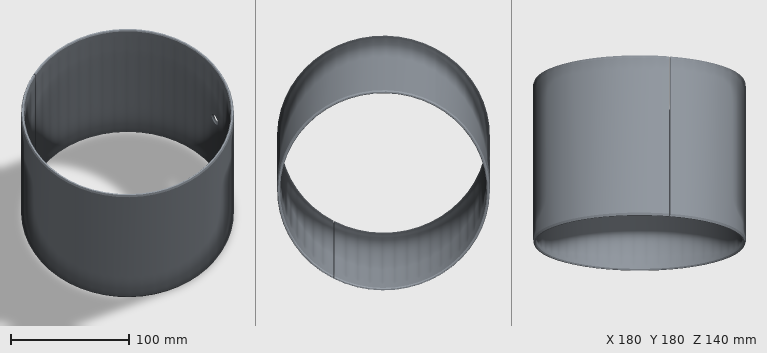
import cadquery as cq
import math

outer_diameter = 180.0
height = 140.0
wall = 2.5
outer_bevel_height = 2.0
outer_bevel_depth = 0.7
inner_bevel_height = 1.0
inner_bevel_depth = 0.7
slit_width = 1.0
slit_edge_y = 0.4
hole_diameter = 10.0
hole_azimuth = 59.0

outer_radius = outer_diameter / 2
inner_radius = outer_radius - wall
half_height = height / 2


def make_sleeve():
    """Revolve the thin wall section with its bevelled outer and inner rims."""
    rim_outer_radius = outer_radius - outer_bevel_depth
    rim_inner_radius = inner_radius + inner_bevel_depth
    outer_bevel_start = half_height - outer_bevel_height
    inner_bevel_start = half_height - inner_bevel_height
    section = (
        cq.Workplane("XZ")
        .moveTo(rim_inner_radius, -half_height)
        .lineTo(rim_outer_radius, -half_height)
        .lineTo(outer_radius, -outer_bevel_start)
        .lineTo(outer_radius, outer_bevel_start)
        .lineTo(rim_outer_radius, half_height)
        .lineTo(rim_inner_radius, half_height)
        .lineTo(inner_radius, inner_bevel_start)
        .lineTo(inner_radius, -inner_bevel_start)
        .close()
    )
    return section.revolve(360, (0, 0, 0), (0, 1, 0))


def make_slit():
    """Full-height cutter that splits the wall on the -X side."""
    return cq.Workplane("XY").box(
        outer_radius, slit_width, height, centered=(False, False, True)
    ).translate((-outer_radius, slit_edge_y, 0))


def make_radial_hole():
    """Radial cutter through the wall at mid height."""
    azimuth = math.radians(hole_azimuth)
    direction = cq.Vector(math.cos(azimuth), math.sin(azimuth), 0)
    drill = cq.Solid.makeCylinder(hole_diameter / 2, outer_radius, cq.Vector(0, 0, 0), direction)
    return cq.Workplane(drill)


result = make_sleeve().cut(make_slit()).cut(make_radial_hole())